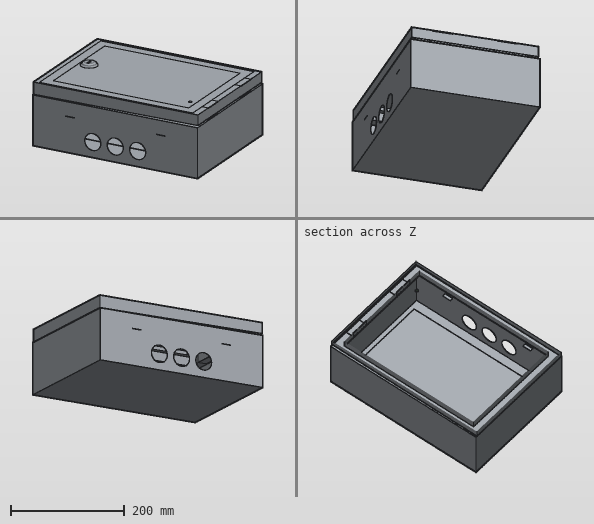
import cadquery as cq

LENGTH = 330.0
WIDTH = 240.0
BOX_HEIGHT = 97.0
DOOR_TOP = 120.8
TOTAL_HEIGHT = 126.7
SHEET = 1.0

DOOR_FRONT_GAP = 1.5
DOOR_BACK_GAP = 2.5
DOOR_WIDTH = WIDTH - DOOR_FRONT_GAP - DOOR_BACK_GAP
DOOR_Y = (DOOR_FRONT_GAP - DOOR_BACK_GAP) / 2
DOOR_INSIDE = DOOR_TOP - SHEET
SKIRT_LOW_GAP = 0.25
SKIRT_HIGH_GAP = 3.3
STUD_DIAMETER = 6.0
STUD_LENGTH = 13.2
STUD_X = 122.0
STUD_Y = -68.0

GASKET_WIDTH = 17.8
GASKET_THICKNESS = 6.5
GASKET_LOCK_MARGIN = 10.0
GASKET_HINGE_MARGIN = 13.5
GASKET_Y_MARGIN = 5.5
GASKET_X_MAX = LENGTH / 2 - GASKET_HINGE_MARGIN
GASKET_X = (GASKET_LOCK_MARGIN - GASKET_HINGE_MARGIN) / 2
GASKET_LENGTH = LENGTH - GASKET_LOCK_MARGIN - GASKET_HINGE_MARGIN
GASKET_Y_SIZE = DOOR_WIDTH - 2 * GASKET_Y_MARGIN
GASKET_BOTTOM = DOOR_INSIDE - GASKET_THICKNESS

COLLAR_X_MARGIN = 18.5
COLLAR_Y_MARGIN = 15.5
COLLAR_X_MAX = LENGTH / 2 - COLLAR_X_MARGIN
COLLAR_LENGTH = LENGTH - 2 * COLLAR_X_MARGIN
COLLAR_Y_SIZE = WIDTH - 2 * COLLAR_Y_MARGIN

HOLE_DIAMETER = 32.0
HOLE_SPACING = 45.0
HOLE_Z = 30.0

TAB_WIDTH = 17.0
TAB_REACH = 6.5
TAB_SPACING = 181.5
TAB_Z = 69.0

PLATE_LENGTH = 290.5
PLATE_WIDTH = 178.2
PLATE_BOTTOM = 19.0

HINGE_SPACING = 120.0
HINGE_WIDTH = 36.3
BOX_LEAF_CLEARANCE = 2.0
RIM_LEG_REACH = COLLAR_X_MARGIN - BOX_LEAF_CLEARANCE

LOCK_X = -116.8
LOCK_BASE_RADIUS = 16.0
LOCK_TOP_RADIUS = 11.5
LOCK_HEIGHT = TOTAL_HEIGHT - DOOR_TOP
LOCK_EDGE_FILLET = 5.5
KEY_SLOT_WIDTH = 2.5
KEY_SLOT_LENGTH = 10.0
KEY_SLOT_DEPTH = 1.5
KEY_BRIDGE = 2.3
KEY_BRIDGE_DROP = 0.3


def block(x_size, y_size, bottom, top, x=0.0, y=0.0):
    """Upright block centred at (x, y) between two heights."""
    return cq.Workplane("XY", origin=(x, y, bottom)).rect(x_size, y_size).extrude(top - bottom)


def frame(x_size, y_size, rail, bottom, top, x=0.0, y=0.0):
    """Rectangular ring whose rails have the given width."""
    inside = block(x_size - 2 * rail, y_size - 2 * rail, bottom, top, x, y)
    return block(x_size, y_size, bottom, top, x, y).cut(inside)


def make_housing():
    """Open box with an inward rim, a collar around its mouth, cable holes and two inner tabs."""
    cavity = block(LENGTH - 2 * SHEET, WIDTH - 2 * SHEET, SHEET, BOX_HEIGHT - SHEET)
    mouth_length = COLLAR_LENGTH - 2 * SHEET
    mouth_width = COLLAR_Y_SIZE - 2 * SHEET
    mouth = block(mouth_length, mouth_width, BOX_HEIGHT - SHEET, BOX_HEIGHT, y=DOOR_Y)
    collar = frame(COLLAR_LENGTH, COLLAR_Y_SIZE, SHEET, BOX_HEIGHT, GASKET_BOTTOM, y=DOOR_Y)
    housing = block(LENGTH, WIDTH, 0, BOX_HEIGHT).cut(cavity).cut(mouth).union(collar)

    for step in (-1, 0, 1):
        start = (step * HOLE_SPACING, -WIDTH / 2 + SHEET, HOLE_Z)
        hole = cq.Workplane("XZ", origin=start).circle(HOLE_DIAMETER / 2).extrude(SHEET)
        housing = housing.cut(hole)

    tab_y = -WIDTH / 2 + SHEET + TAB_REACH / 2
    for side in (-1, 1):
        tab = block(TAB_WIDTH, TAB_REACH, TAB_Z - SHEET, TAB_Z, side * TAB_SPACING / 2, tab_y)
        housing = housing.union(tab)
    return housing


def make_door():
    """Shallow tray, open below, with a skirt whose lower edge rises towards the hinges."""
    side_outline = [
        (-LENGTH / 2, BOX_HEIGHT + SKIRT_LOW_GAP),
        (LENGTH / 2, BOX_HEIGHT + SKIRT_HIGH_GAP),
        (LENGTH / 2, DOOR_TOP),
        (-LENGTH / 2, DOOR_TOP),
    ]
    middle = cq.Workplane("XZ", origin=(0, DOOR_Y, 0))
    slab = middle.polyline(side_outline).close().extrude(DOOR_WIDTH / 2, both=True)
    inside = block(LENGTH - 2 * SHEET, DOOR_WIDTH - 2 * SHEET, BOX_HEIGHT, DOOR_INSIDE, y=DOOR_Y)
    stud = (
        cq.Workplane("XY", origin=(STUD_X, STUD_Y, DOOR_INSIDE - STUD_LENGTH))
        .circle(STUD_DIAMETER / 2)
        .extrude(STUD_LENGTH)
    )
    return slab.cut(inside).union(stud, clean=False)


def make_gasket():
    return frame(
        GASKET_LENGTH, GASKET_Y_SIZE, GASKET_WIDTH, GASKET_BOTTOM, DOOR_INSIDE, GASKET_X, DOOR_Y
    )


def make_mounting_plate():
    return block(PLATE_LENGTH, PLATE_WIDTH, PLATE_BOTTOM, PLATE_BOTTOM + SHEET)


def make_box_leaf(y):
    """Angle with one leg on the rim and one leg against the collar."""
    rim_leg_x = COLLAR_X_MAX + RIM_LEG_REACH / 2
    rim_leg = block(RIM_LEG_REACH, HINGE_WIDTH, BOX_HEIGHT, BOX_HEIGHT + SHEET, rim_leg_x, y)
    collar_leg = block(SHEET, HINGE_WIDTH, BOX_HEIGHT, GASKET_BOTTOM, COLLAR_X_MAX + SHEET / 2, y)
    return rim_leg.union(collar_leg)


def make_door_leaf(y):
    """Flat plate under the door, filling the space between the gasket and the +X skirt."""
    x_end = LENGTH / 2 - SHEET
    x_middle = (GASKET_X_MAX + x_end) / 2
    return block(x_end - GASKET_X_MAX, HINGE_WIDTH, DOOR_INSIDE - SHEET, DOOR_INSIDE, x_middle, y)


def make_lock():
    """Cone with a rounded top edge and a key slot split by a bridge."""
    profile = [(0, 0), (LOCK_BASE_RADIUS, 0), (LOCK_TOP_RADIUS, LOCK_HEIGHT), (0, LOCK_HEIGHT)]
    body = (
        cq.Workplane("XZ")
        .polyline(profile)
        .close()
        .revolve(360, (0, 0), (0, 1))
        .faces(">Z")
        .edges()
        .fillet(LOCK_EDGE_FILLET)
        .translate((LOCK_X, DOOR_Y, DOOR_TOP))
    )
    slot = block(
        KEY_SLOT_WIDTH, KEY_SLOT_LENGTH, TOTAL_HEIGHT - KEY_SLOT_DEPTH, TOTAL_HEIGHT, LOCK_X, DOOR_Y
    )
    bridge = block(
        KEY_SLOT_WIDTH,
        KEY_BRIDGE,
        TOTAL_HEIGHT - KEY_SLOT_DEPTH,
        TOTAL_HEIGHT - KEY_BRIDGE_DROP,
        LOCK_X,
        DOOR_Y,
    )
    return body.cut(slot.cut(bridge))


housing = make_housing()
door = make_door()
gasket = make_gasket()
mounting_plate = make_mounting_plate()
lock = make_lock()

hinge_positions = [DOOR_Y + side * HINGE_SPACING / 2 for side in (-1, 1)]
box_leaves = [make_box_leaf(y).val() for y in hinge_positions]
door_leaves = [make_door_leaf(y).val() for y in hinge_positions]

result = cq.Compound.makeCompound(
    [
        housing.val(),
        door.val(),
        gasket.val(),
        mounting_plate.val(),
        lock.val(),
        *box_leaves,
        *door_leaves,
    ]
)